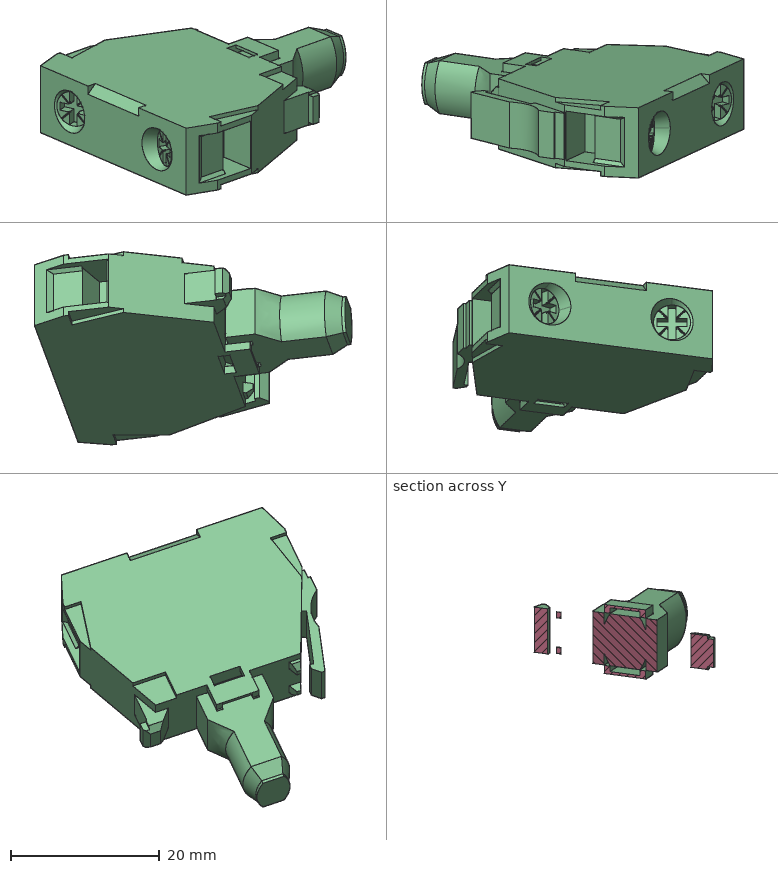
import cadquery as cq
import math


THICKNESS = 9.8
HALF_Z = THICKNESS / 2
HALF_WIDTH = 16.1
FRONT_HALF_WIDTH = 14.55
BACK_HALF_WIDTH = 10.5
FRONT_SLOPE_Y = 4.35
BACK_SLOPE_Y = 10.5
BACK_Y = 23.78

BEVEL_LENGTH = 10.1
BEVEL_RUN = 1.32
BEVEL_DROP = 1.2

WEDGE_DEPTH = 0.6
WEDGE_START_Y = 4.97
WEDGE_INNER_X = 13.7
WEDGE_TIP = (15.28, 12.35)

POCKET_HALF_Z = 3.45
POCKET_START_Y = 1.8
POCKET_END_Y = 10.3
PAD_RIM_X = 15.15
PAD_X = 14.68
PAD_HALF_Z = 2.95
PAD_START_Y = 2.65
PAD_END_Y = 6.6
ENTRY_FLOOR_X = 10.83
ENTRY_RAMP_END_Y = 8.2

STEP_X = 7.45
STEP_Y = 19.75
STEP_DEPTH = 0.72

CLIP_HALF_Z = 3.2
CLIP_ROOT_Y = 10.43
CLIP_HEEL_X = -16.45
CLIP_HEEL_Y = 11.75
CLIP_GRIP_X = -16.8
CLIP_GRIP_Y = 14.08
CLIP_ARC_MIDDLE = (-15.5, 15.35)
CLIP_ARC_END = (-14.85, 19.65)
CLIP_TIP_Y = 26.63
CLIP_TIP_LEFT_X = -12.9
CLIP_TIP_RIGHT_X = -12.4
CLIP_BARB_X = -11.35
CLIP_BARB_TOP_Y = 25.6
CLIP_BARB_Y = 24.9
CLIP_ARM_INNER_X = -11.95
CLIP_GAP_CORNER = (-14.25, 16.72)
CLIP_GAP_END = (-13.45, 16.35)

FOOT_OUTER_Z = 3.7
FOOT_INNER_Z = 2.05
FOOT_LEFT_X = -10.5
FOOT_RIGHT_X = -8.85
FOOT_TIP_LEFT_X = -10.05
FOOT_TIP_RIGHT_X = -9.45
FOOT_TIP_Y = 25.05
FOOT_BEVEL = 0.85

HOOK_HALF_Z = 2.4
HOOK_TIP_Y = 26.25
HOOK_BEVEL = 0.85
HOOK_POST_X = 12.07
HOOK_ROOT_X = 8.65
HOOK_TIP_LEFT_X = 10.8
HOOK_TIP_RIGHT_X = 12.2
HOOK_LIP_HALF_Z = 2.0
HOOK_LIP_X = 13.05
HOOK_LIP_Y = 24.45
HOOK_LIP_CHAMFER = 0.75

LENS_TIP_Y = 40.1
LENS_HALF_Z = 3.7
LENS_HALF_WIDTH = 3.4
LENS_FLAT_HALF = 2.2
TIP_HALF_Z = 2.9
TIP_HALF_WIDTH = 2.4
TIP_FLAT_HALF = 1.52
TAPER_START_Y = 37.5
TAPER_END_Y = 39.65
FLARE_START_Y = 28.27
FLARE_END_Y = 31.35
LENS_BASE_HALF = 4.77
LENS_BASE_Y = 24.22
STEM_TOP_Y = 27.45
STEM_END_Y = 22.65

TONGUE_HALF_WIDTH = 3.1
TONGUE_END_Y = 27.23
WINDOW_HALF_WIDTH = 2.15
WINDOW_END_Y = 24.25
CHANNEL_Z = 4.45
RAMP_DROP = 1.12

SCREW_X = 8.75
HOLE_RADIUS = 3.0
SCREW_RADIUS = 2.5
SCREW_LENGTH = 3.2
SCREW_TILT = 20.0
SCREW_HEAD_Y = 1.0
SLOT_WIDTH = 1.12
SLOT_LENGTH = 4.0
SLOT_DEPTH = 1.3
GROOVE_WIDTH = 0.15
GROOVE_DEPTH = 0.4
GROOVE_ANGLES = (45, 135)


def plate(points, half_z):
    """Prism with the given XY outline, centred on Z = 0."""
    return cq.Workplane("XY").polyline(points).close().extrude(half_z, both=True)


def block(x_range, y_range, z_range):
    """Axis-aligned box between the given limits."""
    sizes = [high - low for low, high in (x_range, y_range, z_range)]
    return cq.Workplane("XY").box(*sizes, centered=False).translate((x_range[0], y_range[0], z_range[0]))


def yz_prism(points, x_start, x_end):
    """Prism along X with the given (y, z) outline."""
    return cq.Workplane("YZ", origin=(x_start, 0, 0)).polyline(points).close().extrude(x_end - x_start)


def back_bevel(tip_y, half_z, size):
    """Cutter that bevels both Z edges of something ending at tip_y."""
    corner = [(tip_y - size, half_z), (tip_y, half_z - size), (tip_y, half_z)]
    cutter = yz_prism(corner, -HALF_WIDTH, HALF_WIDTH)
    return cutter.union(cutter.mirror("XY"))



def lens_wire(y, flat_half, half_width, half_z):
    """Lens cross-section at y: flat top and bottom, bulging sides."""
    return (
        cq.Workplane("XZ", origin=(0, y, 0))
        .moveTo(-flat_half, half_z)
        .lineTo(flat_half, half_z)
        .threePointArc((half_width, 0), (flat_half, -half_z))
        .lineTo(-flat_half, -half_z)
        .threePointArc((-half_width, 0), (-flat_half, half_z))
        .close()
        .val()
    )


def base_wire(y):
    """Rectangular lens foot cross-section at y."""
    half, top = LENS_BASE_HALF, LENS_HALF_Z
    corners = [(-half, top), (half, top), (half, -top), (-half, -top)]
    return cq.Workplane("XZ", origin=(0, y, 0)).polyline(corners).close().val()


def loft(*wires):
    """Ruled solid through the given closed wires."""
    return cq.Workplane(cq.Solid.makeLoft(list(wires), True))


def body_wire(y):
    """Full-size lens cross-section."""
    return lens_wire(y, LENS_FLAT_HALF, LENS_HALF_WIDTH, LENS_HALF_Z)


def tip_wire(y):
    """Reduced lens cross-section at the tip."""
    return lens_wire(y, TIP_FLAT_HALF, TIP_HALF_WIDTH, TIP_HALF_Z)


def make_stem():
    """Bulged stem with its sides cut flat to the width of the tongues."""
    stem = loft(body_wire(STEM_END_Y), body_wire(STEM_TOP_Y))
    limit = block((-TONGUE_HALF_WIDTH, TONGUE_HALF_WIDTH), (STEM_END_Y, STEM_TOP_Y), (-HALF_Z, HALF_Z))
    return stem.intersect(limit)


def make_lens():
    """Lens with a forked base, a flared shaft and a snap-in stem."""
    tip = loft(tip_wire(TAPER_END_Y), tip_wire(LENS_TIP_Y))
    taper = loft(body_wire(TAPER_START_Y), tip_wire(TAPER_END_Y))
    shaft = loft(body_wire(FLARE_END_Y), body_wire(TAPER_START_Y))
    flare = loft(base_wire(FLARE_START_Y), body_wire(FLARE_END_Y))
    base = loft(base_wire(LENS_BASE_Y), base_wire(FLARE_START_Y))
    stem_opening = block(
        (-TONGUE_HALF_WIDTH, TONGUE_HALF_WIDTH), (LENS_BASE_Y, STEM_TOP_Y), (-HALF_Z, HALF_Z)
    )
    lens = base.cut(stem_opening).union(flare).union(shaft).union(taper).union(tip).union(make_stem())

    ramp = yz_prism(
        [(WINDOW_END_Y, LENS_HALF_Z), (STEM_END_Y, LENS_HALF_Z - RAMP_DROP), (STEM_END_Y, LENS_HALF_Z)],
        -LENS_HALF_WIDTH,
        LENS_HALF_WIDTH,
    )
    return lens.cut(ramp).cut(ramp.mirror("XY"))



def screw_frame(side):
    """Plane on the screw head: its X runs across the head, its normal points into the housing."""
    tilt = math.radians(SCREW_TILT)
    return cq.Plane(
        origin=(side * (SCREW_X + SCREW_HEAD_Y * math.tan(tilt)), SCREW_HEAD_Y, 0),
        xDir=(math.cos(tilt), -side * math.sin(tilt), 0),
        normal=(side * math.sin(tilt), math.cos(tilt), 0),
    )


def make_screw(side):
    """Plain screw with a cross recess and fine diagonal grooves in its head."""
    frame = screw_frame(side)
    screw = cq.Workplane(frame).circle(SCREW_RADIUS).extrude(SCREW_LENGTH)
    cross = cq.Workplane(frame).rect(SLOT_LENGTH, SLOT_WIDTH).extrude(SLOT_DEPTH)
    long_slot = cq.Workplane(frame).rect(SLOT_WIDTH, 2 * SCREW_RADIUS).extrude(SLOT_DEPTH)
    screw = screw.cut(cross).cut(long_slot)
    for angle in GROOVE_ANGLES:
        groove = cq.Workplane(frame).transformed(rotate=(0, 0, angle))
        screw = screw.cut(groove.rect(2 * SCREW_RADIUS, GROOVE_WIDTH).extrude(GROOVE_DEPTH))
    return screw


def make_screw_hole(side):
    """Seat for the screw and the flared hole that leads to its head."""
    frame = screw_frame(side)
    seat = cq.Workplane(frame).circle(SCREW_RADIUS).extrude(SCREW_LENGTH)
    mouth = cq.Wire.makeCircle(HOLE_RADIUS, cq.Vector(side * SCREW_X, 0, 0), cq.Vector(0, 1, 0))
    floor = cq.Wire.makeCircle(SCREW_RADIUS, frame.origin, frame.zDir)
    return seat.union(loft(mouth, floor))



def make_plate():
    """Symmetric eight-sided housing plate."""
    right = [
        (FRONT_HALF_WIDTH, 0),
        (HALF_WIDTH, FRONT_SLOPE_Y),
        (HALF_WIDTH, BACK_SLOPE_Y),
        (BACK_HALF_WIDTH, BACK_Y),
    ]
    left = [(-x, y) for x, y in reversed(right)]
    return plate(right + left, HALF_Z)


def make_front_bevel():
    """Cutter for the bevelled notch above the wiring face."""
    corner = [(0, HALF_Z - BEVEL_DROP), (BEVEL_RUN, HALF_Z), (0, HALF_Z)]
    return yz_prism(corner, -BEVEL_LENGTH / 2, BEVEL_LENGTH / 2)


def make_wedge_recess():
    """Right-hand triangular recesses in the top and bottom faces."""
    outline = [
        (WEDGE_INNER_X, WEDGE_START_Y),
        (HALF_WIDTH, WEDGE_START_Y),
        (HALF_WIDTH, WEDGE_TIP[1]),
        WEDGE_TIP,
    ]
    return plate(outline, HALF_Z).cut(plate(outline, HALF_Z - WEDGE_DEPTH))


def pad_wire(x, start_y, half_z):
    """Rectangle at the given X that ends at the deep end of the pocket."""
    corners = [(start_y, -half_z), (PAD_END_Y, -half_z), (PAD_END_Y, half_z), (start_y, half_z)]
    return cq.Workplane("YZ", origin=(x, 0, 0)).polyline(corners).close().val()


def make_pocket():
    """Right-hand wire entry: a deep end and a shallow pad with sloping walls."""
    opening = plate(
        [
            (HALF_WIDTH, POCKET_START_Y),
            (HALF_WIDTH, POCKET_END_Y),
            (ENTRY_FLOOR_X, POCKET_END_Y),
            (ENTRY_FLOOR_X, ENTRY_RAMP_END_Y),
            (PAD_X, PAD_END_Y),
            (PAD_RIM_X, PAD_END_Y),
            (PAD_RIM_X, POCKET_START_Y),
        ],
        POCKET_HALF_Z,
    )
    pad = loft(
        pad_wire(PAD_X, PAD_START_Y, PAD_HALF_Z),
        pad_wire(PAD_RIM_X, POCKET_START_Y, POCKET_HALF_Z),
    )
    return opening.union(pad)


def make_corner_step():
    """Cutter for the shallow step at the right back corner of the top face."""
    return block((STEP_X, HALF_WIDTH), (STEP_Y, BACK_Y), (HALF_Z - STEP_DEPTH, HALF_Z))


def make_clip():
    """Springy latch arm standing off the left slope."""
    return (
        cq.Workplane("XY")
        .moveTo(-HALF_WIDTH, CLIP_ROOT_Y)
        .lineTo(CLIP_HEEL_X, CLIP_ROOT_Y)
        .lineTo(CLIP_HEEL_X, CLIP_HEEL_Y)
        .lineTo(CLIP_GRIP_X, CLIP_HEEL_Y)
        .lineTo(CLIP_GRIP_X, CLIP_GRIP_Y)
        .threePointArc(CLIP_ARC_MIDDLE, CLIP_ARC_END)
        .lineTo(CLIP_TIP_LEFT_X, CLIP_TIP_Y)
        .lineTo(CLIP_TIP_RIGHT_X, CLIP_TIP_Y)
        .lineTo(CLIP_BARB_X, CLIP_BARB_TOP_Y)
        .lineTo(CLIP_BARB_X, CLIP_BARB_Y)
        .lineTo(CLIP_ARM_INNER_X, CLIP_BARB_Y)
        .lineTo(*CLIP_GAP_CORNER)
        .lineTo(*CLIP_GAP_END)
        .close()
        .extrude(CLIP_HALF_Z, both=True)
    )


def make_feet():
    """Two feet, one near each broad face, each bevelled on its outer side."""
    outline = [
        (FOOT_LEFT_X, BACK_Y),
        (FOOT_TIP_LEFT_X, FOOT_TIP_Y),
        (FOOT_TIP_RIGHT_X, FOOT_TIP_Y),
        (FOOT_RIGHT_X, BACK_Y),
    ]
    feet = plate(outline, FOOT_OUTER_Z).cut(plate(outline, FOOT_INNER_Z))
    return feet.cut(back_bevel(FOOT_TIP_Y, FOOT_OUTER_Z, FOOT_BEVEL))


def make_hook():
    """Post with a bevelled end and an outward lip."""
    post = plate(
        [
            (HOOK_ROOT_X, STEP_Y),
            (HOOK_ROOT_X, BACK_Y),
            (HOOK_TIP_LEFT_X, HOOK_TIP_Y),
            (HOOK_TIP_RIGHT_X, HOOK_TIP_Y),
            (HOOK_TIP_RIGHT_X, HOOK_LIP_Y),
            (HOOK_POST_X, HOOK_LIP_Y),
            (HOOK_POST_X, STEP_Y),
        ],
        HOOK_HALF_Z,
    )
    lip = plate(
        [
            (HOOK_POST_X, HOOK_LIP_Y),
            (HOOK_LIP_X, HOOK_LIP_Y),
            (HOOK_LIP_X, HOOK_TIP_Y - HOOK_LIP_CHAMFER),
            (HOOK_LIP_X - HOOK_LIP_CHAMFER, HOOK_TIP_Y),
            (HOOK_POST_X, HOOK_TIP_Y),
        ],
        HOOK_LIP_HALF_Z,
    )
    bevel = back_bevel(HOOK_TIP_Y, HOOK_HALF_Z, HOOK_BEVEL)
    return post.union(lip).cut(bevel)


def make_tongue():
    """Upper tongue above the lens stem, hollowed by a channel on its underside."""
    tongue = block((-TONGUE_HALF_WIDTH, TONGUE_HALF_WIDTH), (BACK_Y, TONGUE_END_Y), (LENS_HALF_Z, HALF_Z))
    channel = block(
        (-WINDOW_HALF_WIDTH, WINDOW_HALF_WIDTH), (WINDOW_END_Y, TONGUE_END_Y), (LENS_HALF_Z, CHANNEL_Z)
    )
    return tongue.cut(channel)


def make_window():
    """Opening through the upper wall over the snap ramp of the lens."""
    return block((-WINDOW_HALF_WIDTH, WINDOW_HALF_WIDTH), (STEM_END_Y, WINDOW_END_Y), (LENS_HALF_Z, HALF_Z))


def make_housing():
    """Plate with clip, feet, hook and tongues, cut for pockets, lens and screws."""
    housing = make_plate().union(make_clip()).union(make_feet()).union(make_hook())
    housing = housing.cut(make_corner_step()).cut(make_front_bevel())

    for recess in (make_wedge_recess(), make_pocket()):
        housing = housing.cut(recess).cut(recess.mirror("YZ"))

    tongue = make_tongue()
    window = make_window()
    housing = housing.union(tongue).union(tongue.mirror("XY"))
    housing = housing.cut(window).cut(window.mirror("XY")).cut(make_stem())

    for side in (-1, 1):
        housing = housing.cut(make_screw_hole(side))
    return housing


housing = make_housing()
lens = make_lens()
screws = [make_screw(side) for side in (-1, 1)]

bodies = [housing, lens, *screws]
result = cq.Compound.makeCompound([body.solids().val() for body in bodies])